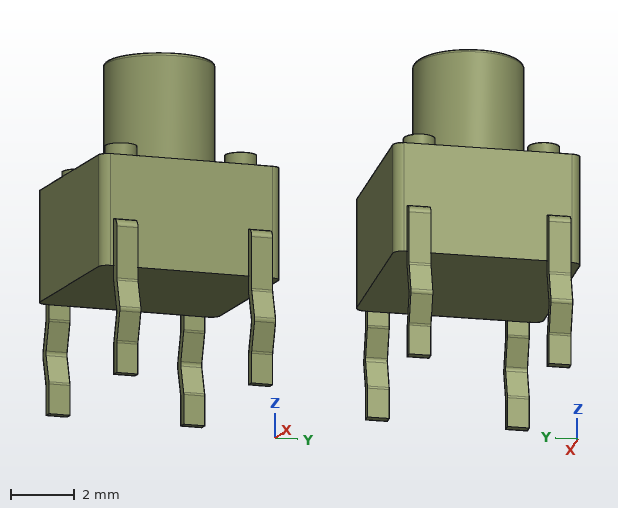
import cadquery as cq

housing_side = 6.0
housing_height = 3.6
corner_radius = 0.3

button_diameter = 3.5
button_height = 3.7
button_edge_radius = 0.1

stud_diameter = 1.0
stud_height = 0.5
stud_spacing = 4.0

leg_thickness = 0.3
leg_width = 0.7
leg_spacing = 4.49
leg_top_z = 1.5
leg_bottom_z = -3.5
leg_top_radius = 0.29

kink_depth = 0.29
kink_center_z = -1.5
kink_half_height = 1.0
kink_bend_radius = 0.26

leg_inner_x = housing_side / 2
leg_outer_x = leg_inner_x + leg_thickness
kink_top_z = kink_center_z + kink_half_height
kink_bottom_z = kink_center_z - kink_half_height


def make_housing():
    """Square block with rounded vertical corners."""
    block = cq.Workplane("XY").rect(housing_side, housing_side).extrude(housing_height)
    return block.edges("|Z").fillet(corner_radius)


def make_button():
    """Round push button with a softened top rim, standing on the housing."""
    button = (
        cq.Workplane("XY", origin=(0, 0, housing_height))
        .circle(button_diameter / 2)
        .extrude(button_height)
    )
    return button.faces(">Z").edges().fillet(button_edge_radius)


def make_stud(x, y):
    """Short round stud standing on the housing."""
    return (
        cq.Workplane("XY", origin=(x, y, housing_height))
        .circle(stud_diameter / 2)
        .extrude(stud_height)
    )


def make_leg(x_side, y):
    """Flat strip with an outward kink, lying against the +X wall (x_side = 1) or the -X wall (-1)."""
    outline = [
        (leg_inner_x, leg_top_z),
        (leg_outer_x, leg_top_z),
        (leg_outer_x, kink_top_z),
        (leg_outer_x + kink_depth, kink_center_z),
        (leg_outer_x, kink_bottom_z),
        (leg_outer_x, leg_bottom_z),
        (leg_inner_x, leg_bottom_z),
        (leg_inner_x, kink_bottom_z),
        (leg_inner_x + kink_depth, kink_center_z),
        (leg_inner_x, kink_top_z),
    ]
    leg = cq.Workplane("XZ").polyline(outline).close().extrude(leg_width / 2, both=True)

    kink_region = cq.selectors.BoxSelector(
        (0, -leg_width, (kink_bottom_z + leg_bottom_z) / 2),
        (housing_side, leg_width, (kink_top_z + leg_top_z) / 2),
    )
    leg = leg.edges("|Y").edges(kink_region).fillet(kink_bend_radius)

    leg = leg.faces(">Z").edges(">X").fillet(leg_top_radius)

    if x_side < 0:
        leg = leg.mirror("YZ")
    return leg.translate((0, y, 0))


housing = make_housing()
button = make_button()

studs = []
legs = []
for x_side in (-1, 1):
    for y_side in (-1, 1):
        studs.append(make_stud(x_side * stud_spacing / 2, y_side * stud_spacing / 2))
        legs.append(make_leg(x_side, y_side * leg_spacing / 2))

bodies = [housing, button, *studs, *legs]
result = cq.Compound.makeCompound([body.val() for body in bodies])